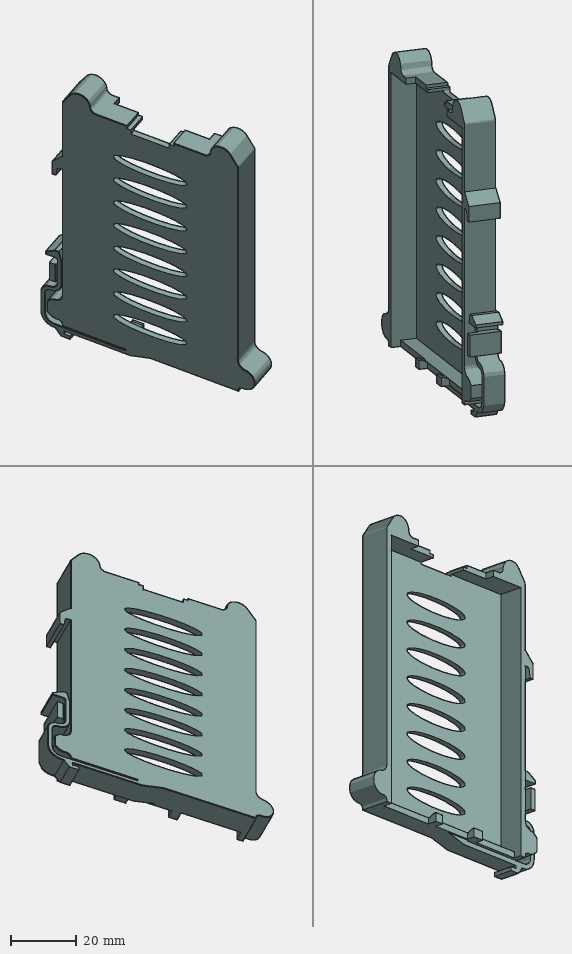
import cadquery as cq
import math


body_width = 62.0
body_height = 90.6
depth = 10.3
floor_thickness = 2.0
wall = 2.0
edge_chamfer = 0.2
half_width = body_width / 2

top_lug_x = 25.0
top_lug_rise = 5.6
top_lug_radius = 3.9
top_lug_fillet = 1.9
top_corner_radius = 1.4

low_lug_x = 32.9
low_lug_z = 5.7
low_lug_radius = 3.9
low_lug_top_fillet = 2.8
low_lug_bottom_fillet = 1.4
left_lug_flat_x = -36.3

slot_count = 8
slot_length = 25.8
slot_width = 5.0
lowest_slot_z = 11.8
slot_span = 64.4

low_top_wall_width = 33.6
low_wall_depth = 7.2
notch_width = 16.5
notch_step_depth = 1.0
inner_notch_width = 13.5
notch_depth = 2.6
notch_corner_radius = 0.5

tall_bottom_wall_depth = 7.6
tall_bottom_wall_end_x = 6.8
snap_hook_spans = ((-12.0, -8.1), (6.1, 9.0))
snap_hook_overhang = 0.9
snap_hook_lip = 0.8

arm_depth = 7.0
arm_thickness = 1.6
arm_outer_x = -38.6
arm_side_gap = 0.2
bar_gap = 0.3
bar_slot_end_x = -8.7
bar_taper_start_x = -7.0
bar_taper_end_x = 0.0
corner_radius = 4.6
bend_top_z = 16.6
upper_bend_inner_radius = 2.3
arm_inner_x = arm_outer_x + arm_thickness
arm_top_right_x = -half_width - arm_side_gap
arm_top_left_x = arm_top_right_x - arm_thickness
bar_top_z = -bar_gap
bar_bottom_z = bar_top_z - arm_thickness

latch_depth = 9.0
latch_tip_x = -37.0
latch_top_z = 29.4
latch_shoulder_z = 27.4
latch_bottom_z = 26.4
latch_top_left_x = -33.7
latch_top_right_x = -32.1
latch_root_z = 25.7
latch_fillet = 0.7

pad_left_x = -35.5
pad_thickness = 2.0
pad_bottom_z = 16.8
pad_height = 7.0
pad_neck_setback = 0.4

foot_left_x = -33.2
foot_heel_x = -31.4
foot_neck_x = -30.3
foot_tip_x = -28.2
foot_bottom_z = -4.2
foot_thickness = 1.3

side_hook_top_z = 68.6
side_hook_tip_x = -34.6
side_hook_shoulder_z = 65.0
side_hook_bottom_z = 60.0
side_hook_tip_width = 1.3
side_hook_inner_x = -32.7
side_hook_inner_z = 63.3
side_hook_fillet = 0.8


def front_plane(y=0.0):
    """Plane facing the front, with X to the right and Z up, at the given depth."""
    return cq.Workplane("XZ", origin=(0, y, 0))


def block(x_min, x_max, y_min, y_max, z_min, z_max):
    size = (x_max - x_min, y_max - y_min, z_max - z_min)
    return cq.Workplane("XY").box(*size, centered=False).translate((x_min, y_min, z_min))


def polar(center, radius, angle):
    return (center[0] + radius * math.cos(angle), center[1] + radius * math.sin(angle))


def top_lug(side):
    """Round lug with a straight outer flank to the body corner and a fillet on its inner side."""
    center = (top_lug_x, body_height + top_lug_rise - top_lug_radius)
    corner = (half_width, body_height)
    to_corner = (corner[0] - center[0], corner[1] - center[1])
    flank_angle = math.atan2(to_corner[1], to_corner[0]) + math.acos(
        top_lug_radius / math.hypot(*to_corner)
    )
    flank = polar(center, top_lug_radius, flank_angle)

    fillet_z = body_height + top_lug_fillet
    center_distance = top_lug_radius + top_lug_fillet
    fillet_x = top_lug_x - math.sqrt(center_distance**2 - (center[1] - fillet_z) ** 2)
    inner_angle = math.atan2(fillet_z - center[1], fillet_x - center[0])
    blend = polar(center, top_lug_radius, inner_angle)
    root_z = body_height - wall
    lug = (
        front_plane()
        .moveTo(half_width, root_z)
        .lineTo(*corner)
        .lineTo(*flank)
        .threePointArc((top_lug_x, body_height + top_lug_rise), blend)
        .tangentArcPoint((fillet_x, body_height), relative=False)
        .lineTo(fillet_x, root_z)
        .close()
        .extrude(-depth)
    )
    return lug if side > 0 else lug.mirror("YZ")


def low_lug(side):
    """Round lug at a lower corner, blended into the side of the body above and below."""
    center = (low_lug_x, low_lug_z)
    top_x = half_width + low_lug_top_fillet
    center_distance = low_lug_radius + low_lug_top_fillet
    top_z = low_lug_z + math.sqrt(center_distance**2 - (top_x - low_lug_x) ** 2)
    blend_angle = math.atan2(top_z - low_lug_z, top_x - low_lug_x)
    blend = polar(center, low_lug_radius, blend_angle)
    lug_bottom = low_lug_z - low_lug_radius
    fillet_end_z = lug_bottom - low_lug_bottom_fillet
    root_x = half_width - wall
    lug = (
        front_plane()
        .moveTo(root_x, top_z + wall)
        .lineTo(half_width, top_z + wall)
        .lineTo(half_width, top_z)
        .tangentArcPoint(blend, relative=False)
        .threePointArc((low_lug_x + low_lug_radius, low_lug_z), (low_lug_x, lug_bottom))
        .lineTo(half_width + low_lug_bottom_fillet, lug_bottom)
        .tangentArcPoint((half_width, fillet_end_z), relative=False)
        .lineTo(root_x, fillet_end_z)
        .close()
        .extrude(-depth)
    )
    return lug if side > 0 else lug.mirror("YZ")


def body_and_arm():
    """Hollow body with its lugs and spring arm, chamfered all round the front outline."""
    shell = block(-half_width, half_width, 0, depth, 0, body_height)
    left_lug = low_lug(-1).intersect(
        block(left_lug_flat_x, half_width, 0, depth, 0, body_height)
    )
    for part in (top_lug(-1), top_lug(1), left_lug, low_lug(1), arm()):
        shell = shell.union(part)
    shell = shell.clean()
    for corner_x in (-half_width, half_width):
        corner = cq.NearestToPointSelector((corner_x, depth / 2, body_height))
        shell = shell.edges("|Y").edges(corner).fillet(top_corner_radius)
    shell = shell.faces("<Y").edges().chamfer(edge_chamfer)
    cavity = block(
        wall - half_width, half_width - wall, floor_thickness, depth, wall, body_height - wall
    )
    return shell.cut(cavity)


def slots():
    pitch = slot_span / (slot_count - 1)
    centers = [(0, lowest_slot_z + i * pitch) for i in range(slot_count)]
    return (
        front_plane()
        .pushPoints(centers)
        .ellipse(slot_length / 2, slot_width / 2)
        .extrude(-floor_thickness)
    )


def top_wall_cuts():
    half_low = low_top_wall_width / 2
    half_notch = notch_width / 2
    half_inner = inner_notch_width / 2
    wall_bottom = body_height - wall
    lowering = block(-half_low, half_low, low_wall_depth, depth, wall_bottom, body_height)
    step = block(-half_notch, half_notch, 0, depth, body_height - notch_step_depth, body_height)
    opening = block(-half_inner, half_inner, 0, depth, body_height - notch_depth, body_height)
    opening = opening.edges("|Y and >X and <Z").fillet(notch_corner_radius)
    return lowering.union(step).union(opening)


def bottom_wall_cuts():
    half_inside = half_width - wall
    left = block(-half_inside, tall_bottom_wall_end_x, tall_bottom_wall_depth, depth, 0, wall)
    right = block(tall_bottom_wall_end_x, half_inside, low_wall_depth, depth, 0, wall)
    return left.union(right)


def snap_hook(x_min, x_max):
    """Post on the bottom wall whose inner face slopes out to an overhanging lip."""
    tip_z = wall + snap_hook_overhang
    profile = [
        (low_wall_depth, 0),
        (low_wall_depth, wall),
        (tall_bottom_wall_depth, wall),
        (depth - snap_hook_lip, tip_z),
        (depth, tip_z),
        (depth, 0),
    ]
    return (
        cq.Workplane("YZ", origin=(x_min, 0, 0)).polyline(profile).close().extrude(x_max - x_min)
    )


def arm():
    bend_bottom_z = bend_top_z - (arm_top_left_x - arm_outer_x)
    bend_x = arm_top_left_x - upper_bend_inner_radius
    bend_outer_z = bend_top_z - upper_bend_inner_radius
    corner_x = arm_outer_x + corner_radius
    corner_z = bar_bottom_z + corner_radius
    slot_radius = bar_gap / 2
    return (
        front_plane()
        .moveTo(bar_taper_end_x, 0)
        .lineTo(bar_taper_start_x, bar_bottom_z)
        .lineTo(corner_x, bar_bottom_z)
        .tangentArcPoint((arm_outer_x, corner_z), relative=False)
        .lineTo(arm_outer_x, bend_bottom_z)
        .tangentArcPoint((bend_x, bend_outer_z), relative=False)
        .tangentArcPoint((arm_top_left_x, bend_top_z), relative=False)
        .lineTo(arm_top_left_x, latch_bottom_z - latch_fillet)
        .tangentArcPoint((arm_top_left_x - latch_fillet, latch_bottom_z), relative=False)
        .lineTo(latch_tip_x, latch_bottom_z)
        .lineTo(latch_tip_x, latch_shoulder_z)
        .lineTo(latch_top_left_x, latch_top_z)
        .lineTo(latch_top_right_x, latch_top_z)
        .lineTo(arm_top_right_x, latch_root_z)
        .lineTo(arm_top_right_x, bend_top_z)
        .tangentArcPoint((bend_x, bend_outer_z - arm_thickness), relative=False)
        .tangentArcPoint((arm_inner_x, bend_bottom_z), relative=False)
        .lineTo(arm_inner_x, corner_z)
        .tangentArcPoint((corner_x, bar_top_z), relative=False)
        .lineTo(bar_slot_end_x - slot_radius, bar_top_z)
        .tangentArcPoint((bar_slot_end_x - slot_radius, 0), relative=False)
        .close()
        .extrude(-arm_depth)
    )


def latch_extension():
    """Deeper wedge of the latch, standing behind the arm."""
    back_slope = (arm_top_right_x - latch_top_right_x) / (latch_top_z - latch_root_z)
    bottom_right_x = latch_top_right_x + back_slope * (latch_top_z - latch_bottom_z)
    return (
        front_plane(arm_depth)
        .moveTo(latch_tip_x, latch_bottom_z)
        .lineTo(latch_tip_x, latch_shoulder_z)
        .lineTo(latch_top_left_x, latch_top_z)
        .lineTo(latch_top_right_x, latch_top_z)
        .lineTo(bottom_right_x, latch_bottom_z)
        .close()
        .extrude(arm_depth - latch_depth)
    )


def thumb_pad():
    """Plate over the full depth, joined to the arm by a neck set back from the front."""
    pad_right_x = pad_left_x + pad_thickness
    pad_top_z = pad_bottom_z + pad_height
    plate = block(pad_left_x, pad_right_x, 0, depth, pad_bottom_z, pad_top_z)
    neck = block(
        pad_right_x, arm_top_right_x, pad_neck_setback, arm_depth, pad_bottom_z, pad_top_z
    )
    return plate.union(neck)


def foot_hook():
    """Hook under the bar; its root fills the bar's front chamfer."""
    profile = [
        (foot_left_x, bar_bottom_z),
        (foot_heel_x, foot_bottom_z),
        (foot_tip_x, foot_bottom_z),
        (foot_tip_x, foot_bottom_z + foot_thickness),
        (foot_neck_x, foot_bottom_z + foot_thickness),
        (foot_neck_x, bar_bottom_z + edge_chamfer),
        (foot_left_x, bar_bottom_z + edge_chamfer),
    ]
    return front_plane().polyline(profile).close().extrude(-arm_depth)


def side_hook():
    """Downward hook on the left side; its root fills the body's front chamfer."""
    root_x = edge_chamfer - half_width
    tip_right_x = side_hook_tip_x + side_hook_tip_width
    return (
        front_plane()
        .moveTo(root_x, side_hook_top_z)
        .lineTo(-half_width, side_hook_top_z)
        .lineTo(side_hook_tip_x, side_hook_shoulder_z)
        .lineTo(side_hook_tip_x, side_hook_bottom_z)
        .lineTo(tip_right_x, side_hook_bottom_z)
        .lineTo(side_hook_inner_x, side_hook_inner_z - side_hook_fillet)
        .radiusArc((side_hook_inner_x + side_hook_fillet, side_hook_inner_z), side_hook_fillet)
        .lineTo(root_x, side_hook_inner_z)
        .close()
        .extrude(-depth)
    )


result = body_and_arm().cut(slots()).cut(top_wall_cuts()).cut(bottom_wall_cuts())
for hook_start, hook_end in snap_hook_spans:
    result = result.union(snap_hook(hook_start, hook_end))
for feature in (latch_extension(), thumb_pad(), foot_hook(), side_hook()):
    result = result.union(feature)